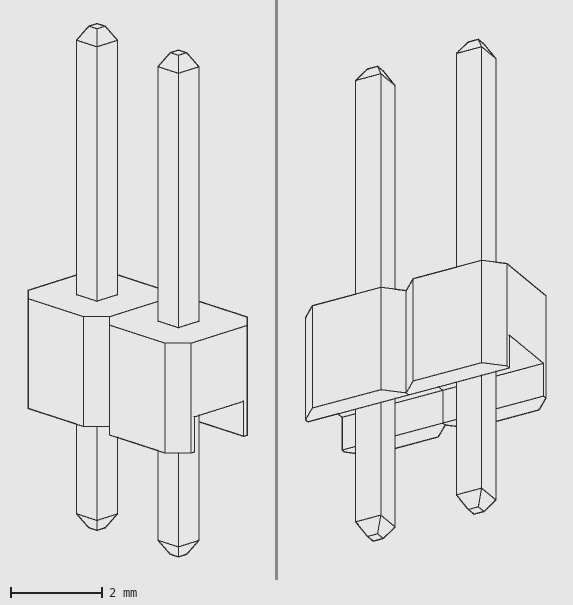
import cadquery as cq

pin_count = 2
pitch = 2.54

block_size = pitch
block_height = pitch
block_bottom = 2.85
corner_chamfer = 0.41
slot_width = 1.51
slot_height = 0.81

pin_length = 11.6
pin_width = 0.64
tip_height = 0.32
tip_width = 0.25


def make_block(x):
    """Octagonal block with a slot along X in its underside and a square pin hole."""
    block = (
        cq.Workplane("XY", origin=(x, 0, block_bottom))
        .rect(block_size, block_size)
        .extrude(block_height)
        .edges("|Z")
        .chamfer(corner_chamfer)
    )
    slot = (
        cq.Workplane("XY", origin=(x, 0, block_bottom))
        .rect(block_size, slot_width)
        .extrude(slot_height)
    )
    pin_hole = (
        cq.Workplane("XY", origin=(x, 0, block_bottom))
        .rect(pin_width, pin_width)
        .extrude(block_height)
    )
    return block.cut(slot).cut(pin_hole)


def make_tip(x, base_z, end_z):
    """Pyramid frustum from the full pin section at base_z to the small end face at end_z."""
    return (
        cq.Workplane("XY", origin=(x, 0, base_z))
        .rect(pin_width, pin_width)
        .workplane(offset=end_z - base_z)
        .rect(tip_width, tip_width)
        .loft(ruled=True)
    )


def make_pin(x):
    """Square shank with a tapered tip at each end."""
    shank_top = pin_length - tip_height
    shank = (
        cq.Workplane("XY", origin=(x, 0, tip_height))
        .rect(pin_width, pin_width)
        .extrude(shank_top - tip_height)
    )
    lower_tip = make_tip(x, tip_height, 0)
    upper_tip = make_tip(x, shank_top, pin_length)
    return shank.union(lower_tip).union(upper_tip)


stations = [(i - (pin_count - 1) / 2) * pitch for i in range(pin_count)]
blocks = [make_block(x).val() for x in stations]
pins = [make_pin(x).val() for x in stations]

result = cq.Compound.makeCompound([*blocks, *pins])